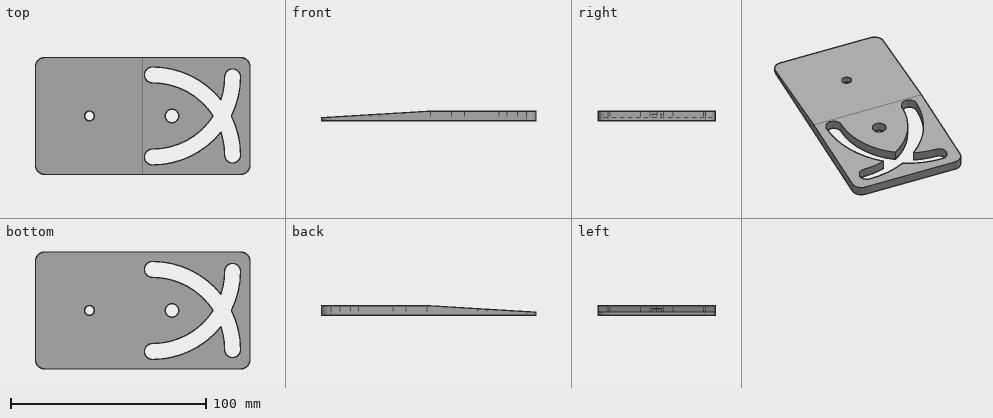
import cadquery as cq
import math

length = 110.0
width = 60.0
thickness = 5.0
corner_radius = 5.0

ramp_length = 54.9
ramp_edge_thickness = 1.6

ramp_hole_diameter = 5.0
ramp_hole_x = -27.4
pivot_hole_diameter = 6.8
pivot_hole_x = 15.0

slot_width = 8.0
slot_arc_radius = 41.0
slot_centre_x = 5.0
slot_centre_y = 20.0


def ramped_plate():
    """Plate with rounded vertical corners and a sloping -X half."""
    left = -length / 2
    profile = [
        (left, 0),
        (length / 2, 0),
        (length / 2, thickness),
        (left + ramp_length, thickness),
        (left, ramp_edge_thickness),
    ]
    plate = cq.Workplane("XZ").polyline(profile).close().extrude(width / 2, both=True)
    return plate.edges("|Z").fillet(corner_radius)


def pivot_hole():
    """Vertical hole through the flat half."""
    return cq.Workplane("XY").center(pivot_hole_x, 0).circle(pivot_hole_diameter / 2).extrude(thickness)


def ramp_hole():
    """Hole leaning with the ramp, placed by its centre on the ramp surface."""
    rise_per_length = (thickness - ramp_edge_thickness) / ramp_length
    ramp_angle = math.degrees(math.atan(rise_per_length))
    surface_height = ramp_edge_thickness + (ramp_hole_x + length / 2) * rise_per_length
    return (
        cq.Workplane("XY")
        .circle(ramp_hole_diameter / 2)
        .extrude(2 * thickness, both=True)
        .rotate((0, 0, 0), (0, 1, 0), -ramp_angle)
        .translate((ramp_hole_x, 0, surface_height))
    )


def arc_slot(side):
    """Round-ended quarter-circle slot whose arc centre lies on the given side of the X axis."""
    def arc_point(radius, angle):
        x = slot_centre_x + radius * math.cos(angle)
        y = slot_centre_y + radius * math.sin(angle)
        return (x, side * y)

    start = -math.pi / 2
    middle = -math.pi / 4
    end = 0
    inner = slot_arc_radius - slot_width / 2
    outer = slot_arc_radius + slot_width / 2
    cap_angle = math.atan2(slot_width / 2, slot_arc_radius)
    tip_radius = math.hypot(slot_arc_radius, slot_width / 2)

    return (
        cq.Workplane("XY")
        .moveTo(*arc_point(outer, start))
        .threePointArc(arc_point(outer, middle), arc_point(outer, end))
        .threePointArc(arc_point(tip_radius, end + cap_angle), arc_point(inner, end))
        .threePointArc(arc_point(inner, middle), arc_point(inner, start))
        .threePointArc(arc_point(tip_radius, start - cap_angle), arc_point(outer, start))
        .close()
        .extrude(thickness)
    )


result = ramped_plate()
result = result.cut(ramp_hole())
result = result.cut(pivot_hole())
for side in (1, -1):
    result = result.cut(arc_slot(side))